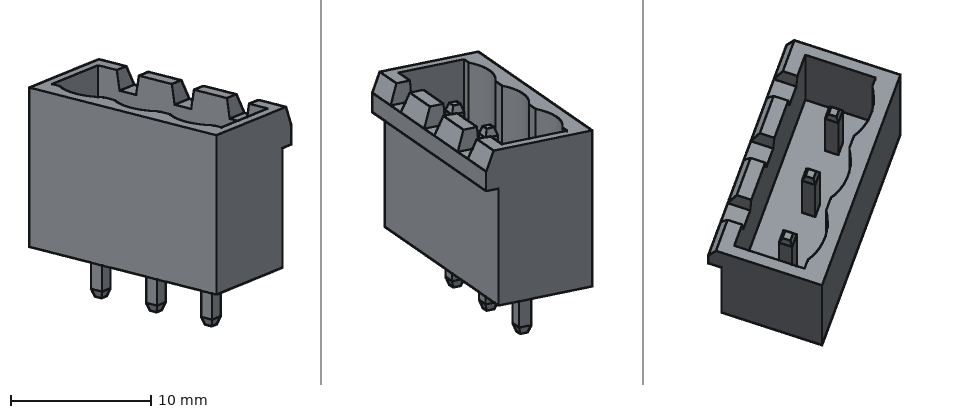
import cadquery as cq

pin_count = 3
pin_pitch = 5.0
pin_size = 1.0
pin_tip_size = 0.6
pin_tip_length = 0.6
pin_tail_length = 4.0
pin_top_z = 10.0

housing_length = 17.0
housing_height = 12.0
front_y = -3.8
housing_depth = 7.6
back_y = front_y + housing_depth

ledge_overhang = 1.0
ledge_bottom_z = 9.0
ledge_chamfer_depth = 0.6
ledge_chamfer_height = 1.5
ledge_y = back_y + ledge_overhang

end_wall = 0.8
front_wall = 1.6
back_wall = 0.7
floor_thickness = 3.0
cavity_front_y = front_y + front_wall
cavity_back_y = back_y - back_wall
cavity_height = housing_height - floor_thickness

scallop_width = 4.0
scallop_depth = 0.6

notch_top_width = 2.0
notch_bottom_width = 1.5
notch_depth = ledge_chamfer_height

pin_positions = [(i - (pin_count - 1) / 2) * pin_pitch for i in range(pin_count)]


def make_housing():
    """Extrude the side profile, including the chamfered latch ledge, along X."""
    profile = [
        (front_y, 0),
        (back_y, 0),
        (back_y, ledge_bottom_z),
        (ledge_y, ledge_bottom_z),
        (ledge_y, housing_height - ledge_chamfer_height),
        (ledge_y - ledge_chamfer_depth, housing_height),
        (front_y, housing_height),
    ]
    return cq.Workplane("YZ").polyline(profile).close().extrude(housing_length / 2, both=True)


def make_cavity():
    """Rectangular well whose front side bulges outward at each scallop."""
    half_length = housing_length / 2 - end_wall
    outline = (
        cq.Workplane("XY", origin=(0, 0, floor_thickness))
        .moveTo(-half_length, cavity_back_y)
        .lineTo(-half_length, cavity_front_y)
    )
    for x in pin_positions:
        outline = outline.lineTo(x - scallop_width / 2, cavity_front_y).threePointArc(
            (x, cavity_front_y - scallop_depth),
            (x + scallop_width / 2, cavity_front_y),
        )
    outline = outline.lineTo(half_length, cavity_front_y).lineTo(half_length, cavity_back_y)
    return outline.close().extrude(cavity_height)


def make_notch(x):
    """Trapezoidal cut, wider at the top, from the cavity out through the ledge."""
    notch_bottom_z = housing_height - notch_depth
    profile = [
        (x - notch_top_width / 2, housing_height),
        (x - notch_bottom_width / 2, notch_bottom_z),
        (x + notch_bottom_width / 2, notch_bottom_z),
        (x + notch_top_width / 2, housing_height),
    ]
    plane = cq.Workplane("XZ", origin=(0, ledge_y, 0))
    return plane.polyline(profile).close().extrude(ledge_y - cavity_back_y)


def make_pin_tip(x, shoulder_z, tip_z):
    """Square frustum narrowing from the pin shank to its end."""
    return (
        cq.Workplane("XY", origin=(x, 0, shoulder_z))
        .rect(pin_size, pin_size)
        .workplane(offset=tip_z - shoulder_z)
        .rect(pin_tip_size, pin_tip_size)
        .loft(ruled=True)
    )


def make_pin(x):
    """Square pin through the housing floor, tapered at both ends."""
    lower_shoulder_z = pin_tip_length - pin_tail_length
    upper_shoulder_z = pin_top_z - pin_tip_length
    shank = (
        cq.Workplane("XY", origin=(x, 0, lower_shoulder_z))
        .rect(pin_size, pin_size)
        .extrude(upper_shoulder_z - lower_shoulder_z)
    )
    lower_tip = make_pin_tip(x, lower_shoulder_z, -pin_tail_length)
    upper_tip = make_pin_tip(x, upper_shoulder_z, pin_top_z)
    return shank.union(lower_tip).union(upper_tip)


result = make_housing().cut(make_cavity())
for pin_x in pin_positions:
    result = result.cut(make_notch(pin_x))
for pin_x in pin_positions:
    result = result.union(make_pin(pin_x))